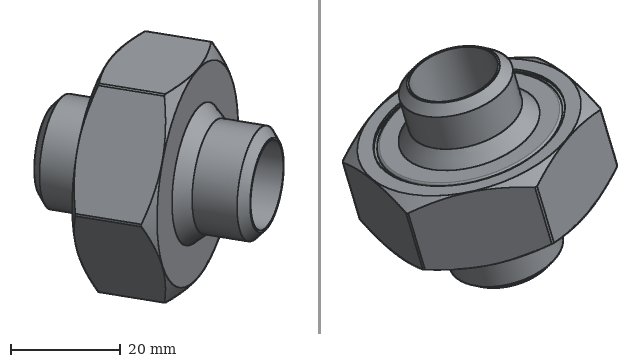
import cadquery as cq
import math

overall_length = 42.0

hex_across_flats = 42.1
hex_across_corners = 48.35
nut_width = 16.55
nut_start = 12.0
nut_face_radius = 21.0
nut_chamfer_angle = 30.0

bore_radius = 8.35
tube_diameter = 21.4
tip_radius = 8.75
tip_bevel_length = 1.8

shoulder_radius = 13.25
shoulder_length = 2.95

gap_outer_radius = 18.0
body_radius = 17.4
body_edge_fillet = 0.5
gap_depth = body_edge_fillet

tube_radius = tube_diameter / 2
left_end = -overall_length / 2
right_end = overall_length / 2
nut_left = left_end + nut_start
nut_right = nut_left + nut_width


def revolve_about_x(profile):
    """Turn a profile, given as (x, radius), a full round about the X axis."""
    return profile.close().revolve(360, (0, 0, 0), (1, 0, 0))


def make_nut():
    """Hexagon with flats facing +Z and -Z, turned down at the corners and on both faces."""
    sharp_corner_diameter = hex_across_flats / math.cos(math.radians(30))
    hexagon = (
        cq.Workplane("YZ", origin=(nut_left, 0, 0))
        .polygon(6, sharp_corner_diameter)
        .extrude(nut_width)
    )
    corner_radius = hex_across_corners / 2
    chamfer_length = (corner_radius - nut_face_radius) * math.tan(math.radians(nut_chamfer_angle))
    turned_blank = revolve_about_x(
        cq.Workplane("XZ")
        .moveTo(nut_left, 0)
        .lineTo(nut_left, nut_face_radius)
        .lineTo(nut_left + chamfer_length, corner_radius)
        .lineTo(nut_right - chamfer_length, corner_radius)
        .lineTo(nut_right, nut_face_radius)
        .lineTo(nut_right, 0)
    )
    return hexagon.intersect(turned_blank)


def make_tube_body():
    """Solid core: bevelled tube ends widening to conical shoulders at the nut faces."""
    return revolve_about_x(
        cq.Workplane("XZ")
        .moveTo(left_end, 0)
        .lineTo(left_end, tip_radius)
        .lineTo(left_end + tip_bevel_length, tube_radius)
        .lineTo(nut_left - shoulder_length, tube_radius)
        .lineTo(nut_left, shoulder_radius)
        .lineTo(nut_right, shoulder_radius)
        .lineTo(nut_right + shoulder_length, tube_radius)
        .lineTo(right_end - tip_bevel_length, tube_radius)
        .lineTo(right_end, tip_radius)
        .lineTo(right_end, 0)
    )


def make_ring_gap():
    """Cutter for the ring gap, shaped with a rounded inner edge that runs down to its floor."""
    round_centre_x = nut_left + body_edge_fillet
    round_centre_radius = body_radius - body_edge_fillet
    round_reach = body_edge_fillet * math.sqrt(0.5)
    round_middle = (round_centre_x - round_reach, round_centre_radius + round_reach)
    return revolve_about_x(
        cq.Workplane("XZ")
        .moveTo(nut_left, round_centre_radius)
        .threePointArc(round_middle, (nut_left + gap_depth, body_radius))
        .lineTo(nut_left + gap_depth, gap_outer_radius)
        .lineTo(nut_left, gap_outer_radius)
    )


bore = cq.Workplane("YZ", origin=(left_end, 0, 0)).circle(bore_radius).extrude(overall_length)

result = make_nut().union(make_tube_body()).cut(make_ring_gap()).cut(bore)